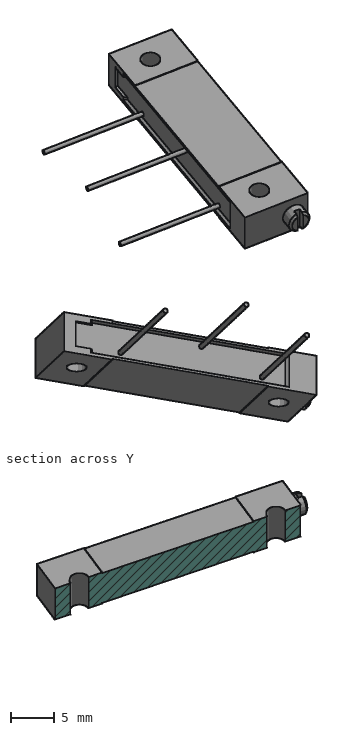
import cadquery as cq

body_length = 31.75
body_depth = 8.38
body_height = 4.95
mid_z = body_height / 2

end_block_length = 6.1
middle_relief = 0.1

hole_diameter = 2.31
hole_inset = 3.18
hole_y = 3.73

pocket_left = 3.38
pocket_right = 28.3
pocket_rim = 0.4
pocket_depth = 0.38
pocket_side_draft = 0.35
pocket_edge_draft = 0.2
notch_left = 1.48
notch_height = 3.15

pin_diameter = 0.58
pin_reach = 12.78
pin_pitch = 2.54
first_pin_x = 7.25
pin_rise = pin_pitch / 2
middle_pin_x = first_pin_x + 4 * pin_pitch
last_pin_x = first_pin_x + 7 * pin_pitch
pin_places = [
    (first_pin_x, mid_z - pin_rise),
    (middle_pin_x, mid_z + pin_rise),
    (last_pin_x, mid_z - pin_rise),
]

screw_diameter = 2.76
screw_length = 1.68
screw_chamfer = 0.28
screw_back_inset = 1.95
slot_width = 0.72
slot_depth = 0.83


def make_body():
    """Block with end blocks standing proud of the middle, and two mounting holes."""
    body = cq.Workplane("XY").box(body_length, body_depth, body_height, centered=False)
    middle_length = body_length - 2 * end_block_length
    for relief_bottom in (0, body_height - middle_relief):
        relief = (
            cq.Workplane("XY")
            .box(middle_length, body_depth, middle_relief, centered=False)
            .translate((end_block_length, 0, relief_bottom))
        )
        body = body.cut(relief)
    holes = (
        cq.Workplane("XY")
        .pushPoints([(hole_inset, hole_y), (body_length - hole_inset, hole_y)])
        .circle(hole_diameter / 2)
        .extrude(body_height)
    )
    return body.cut(holes)


def make_pocket():
    """Recess narrowing toward its floor, joined to a straight-walled notch."""
    length = pocket_right - pocket_left
    height = body_height - 2 * pocket_rim
    recess = (
        cq.Workplane("XZ", origin=((pocket_left + pocket_right) / 2, 0, mid_z))
        .rect(length, height)
        .workplane(offset=-pocket_depth)
        .rect(length - 2 * pocket_side_draft, height - 2 * pocket_edge_draft)
        .loft(ruled=True)
    )
    notch_length = pocket_left + pocket_side_draft - notch_left
    notch = (
        cq.Workplane("XY")
        .box(notch_length, pocket_depth, notch_height, centered=(False, False, True))
        .translate((notch_left, 0, mid_z))
    )
    return recess.union(notch)


def make_pins():
    """Three round pins standing on the pocket floor and pointing toward -Y."""
    return (
        cq.Workplane("XZ", origin=(0, pocket_depth, 0))
        .pushPoints(pin_places)
        .circle(pin_diameter / 2)
        .extrude(pocket_depth + pin_reach)
    )


def make_screw():
    """Chamfered screw head with a driver slot running along Z."""
    screw_y = body_depth - screw_back_inset
    head = (
        cq.Workplane("YZ", origin=(body_length, screw_y, mid_z))
        .circle(screw_diameter / 2)
        .extrude(screw_length)
        .faces(">X")
        .chamfer(screw_chamfer)
    )
    slot = (
        cq.Workplane("XY")
        .box(slot_depth, slot_width, screw_diameter, centered=(False, True, True))
        .translate((body_length + screw_length - slot_depth, screw_y, mid_z))
    )
    return head.cut(slot)


result = make_body().cut(make_pocket()).union(make_pins()).union(make_screw())